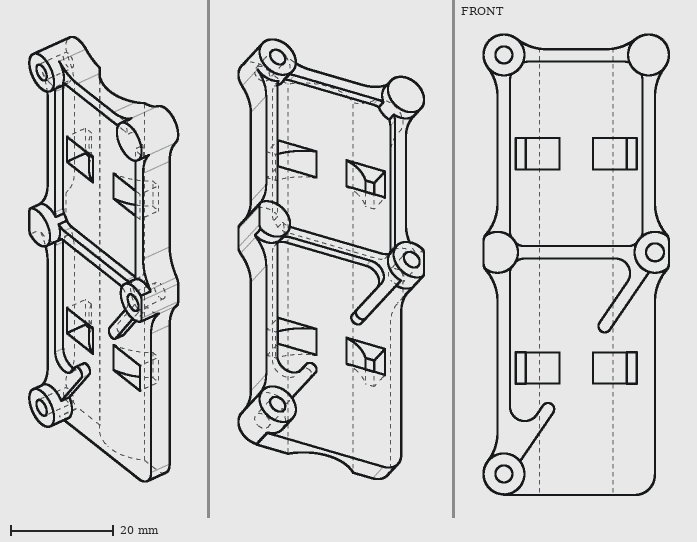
import cadquery as cq
import math

POST_HEIGHT = 9.0
RIM_HEIGHT = 6.6
FLOOR_HEIGHT = 4.6

OVERALL_HEIGHT = 90.0
OVERALL_WIDTH = 36.3
BODY_HALF_WIDTH = 15.4
BODY_TOP = 87.1
BODY_CORNER_RADIUS = 4.0
WALL = 2.4

POST_DIAMETER = 8.0
CORNER_POST_X = (OVERALL_WIDTH - POST_DIAMETER) / 2
TOP_POST_Z = OVERALL_HEIGHT - POST_DIAMETER / 2
BOTTOM_POST_Z = 4.1
DIVIDER_Z = 47.4
CORNER_HOLE_DIAMETER = 3.3
MIDDLE_HOLE_DIAMETER = 3.5
HOLE_DEPTH = 6.6
FLARE_RADIUS = 9.4

SHOULDER_FLAT_LENGTH = 4.3
SHOULDER_RADIUS = 2.0

TOP_LEFT = (-CORNER_POST_X, TOP_POST_Z)
TOP_RIGHT = (CORNER_POST_X, TOP_POST_Z)
MIDDLE_LEFT = (-BODY_HALF_WIDTH, DIVIDER_Z)
MIDDLE_RIGHT = (BODY_HALF_WIDTH, DIVIDER_Z)
BOTTOM_LEFT = (-CORNER_POST_X, BOTTOM_POST_Z)

TOP_RECESS_RADIUS = 3.8
RECESS_RADIUS = 2.9

LOWER_RIB_LENGTH = 15.3
UPPER_RIB_LENGTH = 17.5
DIAGONAL_DX = MIDDLE_RIGHT[0] - BOTTOM_LEFT[0]
DIAGONAL_DZ = MIDDLE_RIGHT[1] - BOTTOM_LEFT[1]
DIAGONAL_LENGTH = math.hypot(DIAGONAL_DX, DIAGONAL_DZ)
DIAGONAL_ANGLE = math.degrees(math.atan2(DIAGONAL_DZ, DIAGONAL_DX))

CHANNEL_RADIUS = 10.2
CHANNEL_DEPTH = 3.0
CHANNEL_AXIS_Y = CHANNEL_RADIUS - CHANNEL_DEPTH
STRAP_RADIUS = 12.2
WINDOW_HALF_WIDTH = 11.8
WINDOW_HEIGHT = 6.1
WINDOW_ZS = [24.8, 66.7]


def front_plane(start=0.0):
    """Sketch plane in X and Z, `start` in front of the back face; extrusions grow toward -Y."""
    return cq.Workplane("XZ", origin=(0, -start, 0))


def prism(points, height):
    return front_plane().polyline(points).close().extrude(height)


def discs(centres, diameter, height):
    return front_plane().pushPoints(centres).circle(diameter / 2).extrude(height)


def round_corner(solid, corner, radius):
    """Rounds the edge along Y that stands at `corner`."""
    nearest = cq.selectors.NearestToPointSelector((corner[0], -RIM_HEIGHT / 2, corner[1]))
    return solid.edges("|Y").edges(nearest).fillet(radius)


def along_diagonal(distance, offset=0.0):
    """Point `distance` up the rib line, moved `offset` to the upper left of it."""
    ux = DIAGONAL_DX / DIAGONAL_LENGTH
    uz = DIAGONAL_DZ / DIAGONAL_LENGTH
    x = BOTTOM_LEFT[0] + distance * ux - offset * uz
    z = BOTTOM_LEFT[1] + distance * uz + offset * ux
    return (x, z)


def diagonal_x(z, offset):
    """X at height `z` on the rib line moved `offset` to its upper left."""
    x0, z0 = along_diagonal(0, offset)
    return x0 + (z - z0) * DIAGONAL_DX / DIAGONAL_DZ


def diagonal_z(x, offset):
    """Height at `x` on the rib line moved `offset` to its upper left."""
    x0, z0 = along_diagonal(0, offset)
    return z0 + (x - x0) * DIAGONAL_DZ / DIAGONAL_DX


def tangent_reach(inset):
    """Distance along a wall from a post, `inset` behind it, to where the flare arc begins."""
    to_post = FLARE_RADIUS + POST_DIAMETER / 2
    return math.sqrt(to_post**2 - (FLARE_RADIUS + inset) ** 2)


def flare(post, wall_point, arc_centre, height):
    """Web between a post and a wall, hollowed by an arc tangent to both."""
    web = prism([post, wall_point, arc_centre], height)
    return web.cut(discs([arc_centre], 2 * FLARE_RADIUS, height))


def side_flare(post, direction):
    """Flare on the side wall next to a corner post, above it (direction 1) or below it (-1)."""
    side = math.copysign(1, post[0])
    z = post[1] + direction * tangent_reach(BODY_HALF_WIDTH - abs(post[0]))
    wall_point = (side * BODY_HALF_WIDTH, z)
    arc_centre = (side * (BODY_HALF_WIDTH + FLARE_RADIUS), z)
    return flare(post, wall_point, arc_centre, RIM_HEIGHT)


def top_flare(post):
    """Flare on the top wall, on the inner side of a top post."""
    side = math.copysign(1, post[0])
    x = post[0] - side * tangent_reach(BODY_TOP - post[1])
    return flare(post, (x, BODY_TOP), (x, BODY_TOP + FLARE_RADIUS), RIM_HEIGHT)


def half_shoulder(side, direction, inner_x, height):
    """Half of a shoulder, from `inner_x` outward: the flat, its rounded end and the flare to the wall.

    `side` is 1 at +X and -1 at -X; `direction` is 1 above the divider and -1 below it.
    """
    flat_x = OVERALL_WIDTH / 2
    round_x = flat_x - SHOULDER_RADIUS
    round_z = SHOULDER_FLAT_LENGTH / 2
    flare_x = BODY_HALF_WIDTH + FLARE_RADIUS
    flare_z = round_z + math.sqrt((FLARE_RADIUS + SHOULDER_RADIUS) ** 2 - (flare_x - round_x) ** 2)
    joint_angle = math.atan2(flare_z - round_z, flare_x - round_x)

    def place(x, z):
        return (side * x, DIVIDER_Z + direction * z)

    def on_round(angle):
        x = round_x + SHOULDER_RADIUS * math.cos(angle)
        return place(x, round_z + SHOULDER_RADIUS * math.sin(angle))

    def on_flare(angle):
        x = flare_x - FLARE_RADIUS * math.cos(angle)
        return place(x, flare_z - FLARE_RADIUS * math.sin(angle))

    return (
        front_plane()
        .moveTo(*place(inner_x, 0))
        .lineTo(*place(flat_x, 0))
        .lineTo(*place(flat_x, round_z))
        .threePointArc(on_round(joint_angle / 2), on_round(joint_angle))
        .threePointArc(on_flare(joint_angle / 2), on_flare(0))
        .lineTo(*place(inner_x, flare_z))
        .close()
        .extrude(height)
    )


floor_outline = [
    (-BODY_HALF_WIDTH, BODY_TOP),
    (-BODY_HALF_WIDTH, BOTTOM_POST_Z),
    BOTTOM_LEFT,
    (-CORNER_POST_X, 0),
    (BODY_HALF_WIDTH, 0),
    (BODY_HALF_WIDTH, BODY_TOP),
]
floor = round_corner(prism(floor_outline, FLOOR_HEIGHT), (BODY_HALF_WIDTH, 0), BODY_CORNER_RADIUS)

inner_half_width = BODY_HALF_WIDTH - WALL
recess_top = BODY_TOP - WALL
upper_rim = prism(
    [
        (-BODY_HALF_WIDTH, DIVIDER_Z),
        (BODY_HALF_WIDTH, DIVIDER_Z),
        (BODY_HALF_WIDTH, BODY_TOP),
        (-BODY_HALF_WIDTH, BODY_TOP),
    ],
    RIM_HEIGHT,
)
upper_recess_bottom = DIVIDER_Z + WALL / 2
upper_recess_corners = [
    (-inner_half_width, upper_recess_bottom),
    (inner_half_width, upper_recess_bottom),
    (inner_half_width, recess_top),
    (-inner_half_width, recess_top),
]
upper_recess = prism(upper_recess_corners, RIM_HEIGHT)
for corner in upper_recess_corners:
    radius = TOP_RECESS_RADIUS if corner[1] == recess_top else RECESS_RADIUS
    upper_recess = round_corner(upper_recess, corner, radius)
upper_rim = upper_rim.cut(upper_recess)

lower_rim = prism(
    [
        (-BODY_HALF_WIDTH, DIVIDER_Z),
        (-BODY_HALF_WIDTH, BOTTOM_POST_Z),
        BOTTOM_LEFT,
        along_diagonal(0, -WALL / 2),
        along_diagonal(DIAGONAL_LENGTH, -WALL / 2),
        MIDDLE_RIGHT,
    ],
    RIM_HEIGHT,
)
lower_recess_top = DIVIDER_Z - WALL / 2
lower_recess_corners = [
    (-inner_half_width, lower_recess_top),
    (diagonal_x(lower_recess_top, WALL / 2), lower_recess_top),
    (-inner_half_width, diagonal_z(-inner_half_width, WALL / 2)),
]
lower_recess = prism(lower_recess_corners, RIM_HEIGHT)
for corner in lower_recess_corners:
    lower_recess = round_corner(lower_recess, corner, RECESS_RADIUS)

rib_ends = [
    along_diagonal(LOWER_RIB_LENGTH),
    along_diagonal(DIAGONAL_LENGTH - UPPER_RIB_LENGTH),
]
gap_length = DIAGONAL_LENGTH - LOWER_RIB_LENGTH - UPPER_RIB_LENGTH
gap_centre = along_diagonal(LOWER_RIB_LENGTH + gap_length / 2)
rib_gap = (
    front_plane()
    .center(*gap_centre)
    .transformed(rotate=(0, 0, DIAGONAL_ANGLE))
    .rect(gap_length, WALL)
    .extrude(RIM_HEIGHT)
)
lower_rim = lower_rim.cut(lower_recess).cut(rib_gap).union(discs(rib_ends, WALL, RIM_HEIGHT))

plate = floor.union(upper_rim).union(lower_rim)

for post in (TOP_LEFT, TOP_RIGHT):
    plate = plate.union(top_flare(post)).union(side_flare(post, -1))
plate = plate.union(side_flare(BOTTOM_LEFT, 1))

for side, post in ((-1, MIDDLE_LEFT), (1, MIDDLE_RIGHT)):
    for direction in (1, -1):
        height = FLOOR_HEIGHT if (side, direction) == (1, -1) else RIM_HEIGHT
        shoulder = half_shoulder(side, direction, inner_half_width, height)
        post_limit = half_shoulder(side, direction, 0, POST_HEIGHT)
        half_post = discs([post], POST_DIAMETER, POST_HEIGHT).intersect(post_limit)
        plate = plate.union(shoulder).union(half_post)

plate = plate.union(discs([TOP_LEFT, TOP_RIGHT, BOTTOM_LEFT], POST_DIAMETER, POST_HEIGHT))

hole_start = POST_HEIGHT - HOLE_DEPTH
for centre, diameter in [
    (TOP_LEFT, CORNER_HOLE_DIAMETER),
    (BOTTOM_LEFT, CORNER_HOLE_DIAMETER),
    (MIDDLE_RIGHT, MIDDLE_HOLE_DIAMETER),
]:
    hole = front_plane(hole_start).center(*centre).circle(diameter / 2).extrude(HOLE_DEPTH)
    plate = plate.cut(hole)


def round_bar(radius, bottom, height):
    """Bar along Z on the channel axis."""
    return cq.Workplane("XY", origin=(0, CHANNEL_AXIS_Y, bottom)).circle(radius).extrude(height)


for z in WINDOW_ZS:
    opening = front_plane().center(0, z).rect(2 * WINDOW_HALF_WIDTH, WINDOW_HEIGHT).extrude(RIM_HEIGHT)
    seat = round_bar(STRAP_RADIUS, z - WINDOW_HEIGHT / 2, WINDOW_HEIGHT)
    plate = plate.cut(opening.cut(seat))

result = plate.cut(round_bar(CHANNEL_RADIUS, 0, OVERALL_HEIGHT))